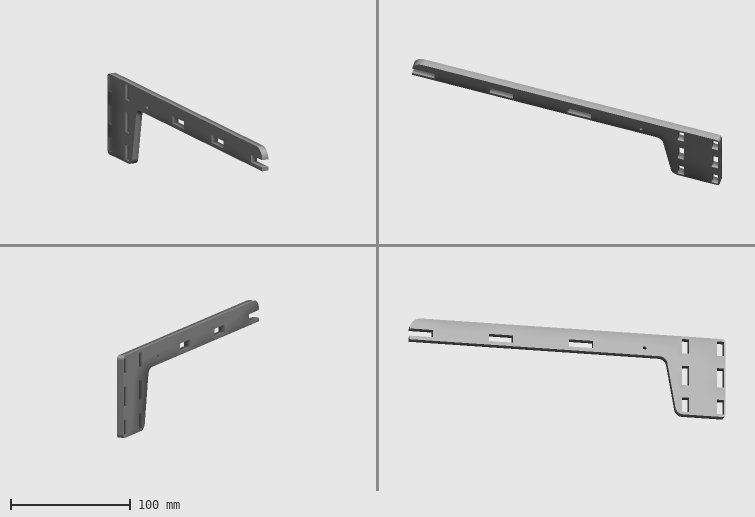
import cadquery as cq

length = 267.8
thickness = 6.0
height = 70.0
arm_depth = 19.3

plate_bottom_width = 41.5
plate_top_width = 50.3

left_corner_radius = 3.2
slope_corner_radius = 6.7
tip_radius = 10.0

plate_slot_width = 5.5
plate_slot_margin = 2.5
end_slot_length = 12.9
middle_slot_length = 17.1
first_column_x = 4.3
column_spacing = 29.7

arm_slot_length = 20.4
arm_slot_height = 6.5
arm_slot_z = -12.9
first_arm_slot_x = 122.5
arm_slot_pitch = 68.0
arm_slot_count = 3

hole_diameter = 3.0
hole_x = 68.5


def make_blank():
    """Flat bracket outline with its rounded corners."""
    outline = [
        (0, 0),
        (length, 0),
        (length, -arm_depth),
        (plate_top_width, -arm_depth),
        (plate_bottom_width, -height),
        (0, -height),
    ]
    blank = cq.Workplane("XZ").polyline(outline).close().extrude(thickness / 2, both=True)
    blank = blank.edges("|Y and <X").fillet(left_corner_radius)
    for x, z in [(plate_top_width, -arm_depth), (plate_bottom_width, -height)]:
        corner = cq.selectors.NearestToPointSelector((x, 0, z))
        blank = blank.edges("|Y").edges(corner).fillet(slope_corner_radius)
    return blank.edges("|Y and >X and >Z").fillet(tip_radius)


def through_slots(centers, width, depth):
    """Rectangular cutters that pass through the plate thickness."""
    return (
        cq.Workplane("XZ")
        .pushPoints(centers)
        .rect(width, depth)
        .extrude(thickness, both=True)
    )


def cut_plate_slots(body):
    """Two columns of three slots, placed evenly about mid-height."""
    top_slot_z = -plate_slot_margin - end_slot_length / 2
    columns = [first_column_x, first_column_x + column_spacing]
    end_centers = [(x, z) for x in columns for z in (top_slot_z, -height - top_slot_z)]
    middle_centers = [(x, -height / 2) for x in columns]
    body = body.cut(through_slots(end_centers, plate_slot_width, end_slot_length))
    return body.cut(through_slots(middle_centers, plate_slot_width, middle_slot_length))


def cut_arm_slots(body):
    """Evenly pitched slots, the last running out through the tip."""
    centers = [(first_arm_slot_x + i * arm_slot_pitch, arm_slot_z) for i in range(arm_slot_count)]
    return body.cut(through_slots(centers, arm_slot_length, arm_slot_height))


def cut_round_hole(body):
    """Small hole through the arm near the mounting plate."""
    cutter = (
        cq.Workplane("XZ")
        .center(hole_x, arm_slot_z)
        .circle(hole_diameter / 2)
        .extrude(thickness, both=True)
    )
    return body.cut(cutter)


result = cut_round_hole(cut_arm_slots(cut_plate_slots(make_blank())))